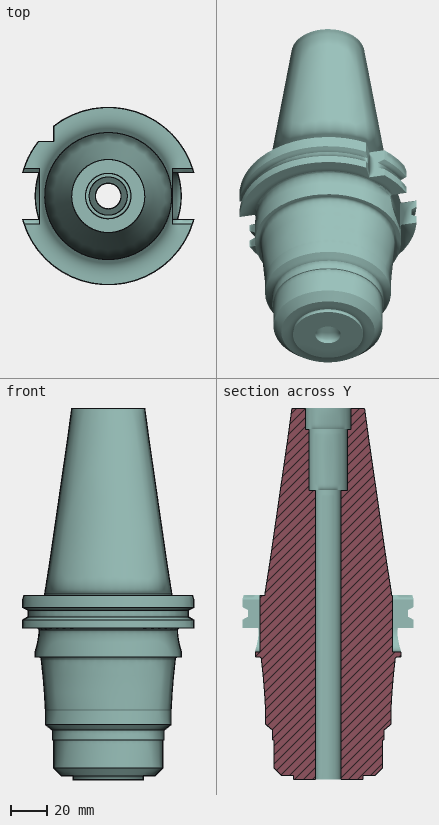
import cadquery as cq
import math


gauge_radius = 69.85 / 2
taper_length = 101.75
taper_small_radius = gauge_radius - taper_length * 7 / 24 / 2

flange_radius = 97.5 / 2
flange_top = -1.0
flange_bottom = -19.1
groove_middle = -11.1
groove_width = 7.0
groove_floor_radius = 45.9
groove_flank_angle = 30.0

collar_radius = 40.15
collar_bottom = -35.0
corner_fillet = 1.0
cone_top_radius = 37.0
sleeve_radius = 34.6
sleeve_top = -64.0
sleeve_bottom = -72.0
neck_radius = 30.75
neck_top = -75.1
neck_bottom = -80.6
nose_radius = 30.0
nose_chamfer = 4.3
nose_chamfer_top = -96.0
rim_radius = 19.25
bottom = -102.4

slot_width = 25.7
slot_arc_center = -19.1
slot_chamfer = 2.4
shallow_slot_floor = 37.7
deep_slot_floor = 35.4
notch_offset = 30.0

through_radius = 7.0
pull_stud_radius = 10.5
pull_stud_depth = 45.0
pilot_radius = 12.5
pilot_depth = 11.5


def make_body():
    """Revolve the outer profile, including the V groove and the two fillets."""
    half_groove = groove_width / 2
    groove_depth = flange_radius - groove_floor_radius
    half_floor = half_groove - groove_depth * math.tan(math.radians(groove_flank_angle))
    fillet_middle = corner_fillet * (1 - math.sqrt(0.5))
    cone_slope = (cone_top_radius - sleeve_radius) / (collar_bottom - sleeve_top)
    fillet_end_radius = cone_top_radius - cone_slope * corner_fillet

    profile = (
        cq.Workplane("YZ")
        .moveTo(0, taper_length)
        .lineTo(taper_small_radius, taper_length)
        .lineTo(gauge_radius, 0)
        .lineTo(gauge_radius, flange_top)
        .lineTo(flange_radius, flange_top)
        .lineTo(flange_radius, groove_middle + half_groove)
        .lineTo(groove_floor_radius, groove_middle + half_floor)
        .lineTo(groove_floor_radius, groove_middle - half_floor)
        .lineTo(flange_radius, groove_middle - half_groove)
        .lineTo(flange_radius, flange_bottom)
        .lineTo(collar_radius + corner_fillet, flange_bottom)
        .threePointArc(
            (collar_radius + fillet_middle, flange_bottom - fillet_middle),
            (collar_radius, flange_bottom - corner_fillet),
        )
        .lineTo(collar_radius, collar_bottom)
        .lineTo(fillet_end_radius + corner_fillet, collar_bottom)
        .threePointArc(
            (fillet_end_radius + fillet_middle, collar_bottom - fillet_middle),
            (fillet_end_radius, collar_bottom - corner_fillet),
        )
        .lineTo(sleeve_radius, sleeve_top)
        .lineTo(sleeve_radius, sleeve_bottom)
        .lineTo(neck_radius, neck_top)
        .lineTo(neck_radius, neck_bottom)
        .lineTo(nose_radius, neck_bottom)
        .lineTo(nose_radius, nose_chamfer_top)
        .lineTo(nose_radius - nose_chamfer, nose_chamfer_top - nose_chamfer)
        .lineTo(rim_radius, nose_chamfer_top - nose_chamfer)
        .lineTo(rim_radius, bottom)
        .lineTo(0, bottom)
        .close()
    )
    return profile.revolve(360, (0, 0, 0), (0, 1, 0))


def make_slot(side, floor):
    """Round-bottomed drive slot, chamfered at the flange top; side is +1 or -1 along X."""
    half_width = slot_width / 2
    outline = (
        cq.Workplane("YZ", origin=(side * floor, 0, 0))
        .moveTo(-half_width, slot_arc_center)
        .threePointArc((0, slot_arc_center - half_width), (half_width, slot_arc_center))
        .lineTo(half_width, flange_top - slot_chamfer)
        .lineTo(half_width + slot_chamfer, flange_top)
        .lineTo(-half_width - slot_chamfer, flange_top)
        .lineTo(-half_width, flange_top - slot_chamfer)
        .close()
    )
    return outline.extrude(side * (flange_radius - floor))


def make_notch():
    """Square corner notch through the flange on the -X, +Y side."""
    notch_size = flange_radius - notch_offset
    return (
        cq.Workplane("XY", origin=(-flange_radius, notch_offset, flange_bottom))
        .rect(notch_size, notch_size, centered=False)
        .extrude(flange_top - flange_bottom)
    )


def make_bore_step(radius, depth):
    """Cylinder that runs down from the small end of the taper."""
    return cq.Workplane("XY", origin=(0, 0, taper_length)).circle(radius).extrude(-depth)


result = make_body()
result = result.cut(make_slot(-1, shallow_slot_floor))
result = result.cut(make_slot(1, deep_slot_floor))
result = result.cut(make_notch())

bore_steps = (
    (through_radius, taper_length - bottom),
    (pull_stud_radius, pull_stud_depth),
    (pilot_radius, pilot_depth),
)
for step_radius, step_depth in bore_steps:
    result = result.cut(make_bore_step(step_radius, step_depth))